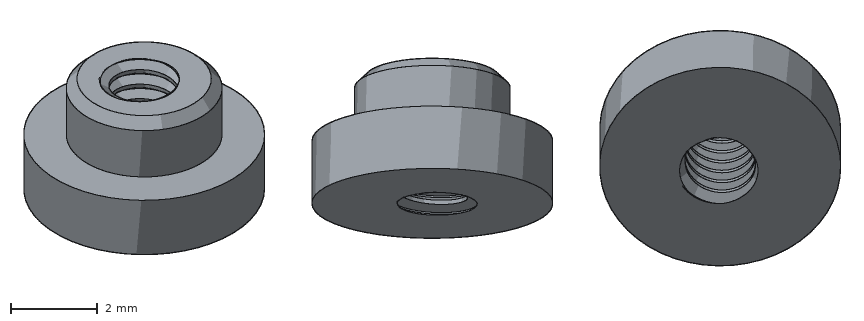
import cadquery as cq
import math

flange_diameter = 5.56
flange_height = 1.5
boss_diameter = 3.6
total_height = 3.03
boss_chamfer = 0.25

minor_diameter = 1.625
major_diameter = 2.075
pitch = 0.4
root_flat = 0.04
flank_angle = 30.0
groove_overlap = 0.03
cutter_turns = 10
top_exit_turns = 8.75


def make_body():
    flange = cq.Workplane("XY").circle(flange_diameter / 2).extrude(flange_height)
    boss = (
        cq.Workplane("XY")
        .circle(boss_diameter / 2)
        .extrude(total_height)
        .faces(">Z")
        .chamfer(boss_chamfer)
    )
    return flange.union(boss)


def make_thread_groove():
    inner_radius = minor_diameter / 2 - groove_overlap
    outer_radius = major_diameter / 2
    root_half = root_flat / 2
    flank_rise = (outer_radius - inner_radius) * math.tan(math.radians(flank_angle))
    mouth_half = root_half + flank_rise

    start_z = total_height - top_exit_turns * pitch
    helix = cq.Wire.makeHelix(pitch, cutter_turns * pitch, minor_diameter / 2)
    groove = (
        cq.Workplane("XZ")
        .moveTo(inner_radius, -mouth_half)
        .lineTo(outer_radius, -root_half)
        .lineTo(outer_radius, root_half)
        .lineTo(inner_radius, mouth_half)
        .close()
        .sweep(cq.Workplane("XY").add(helix), isFrenet=True)
    )
    return groove.translate((0, 0, start_z))


bore = cq.Workplane("XY").circle(minor_diameter / 2).extrude(total_height)
result = make_body().cut(make_thread_groove()).cut(bore)